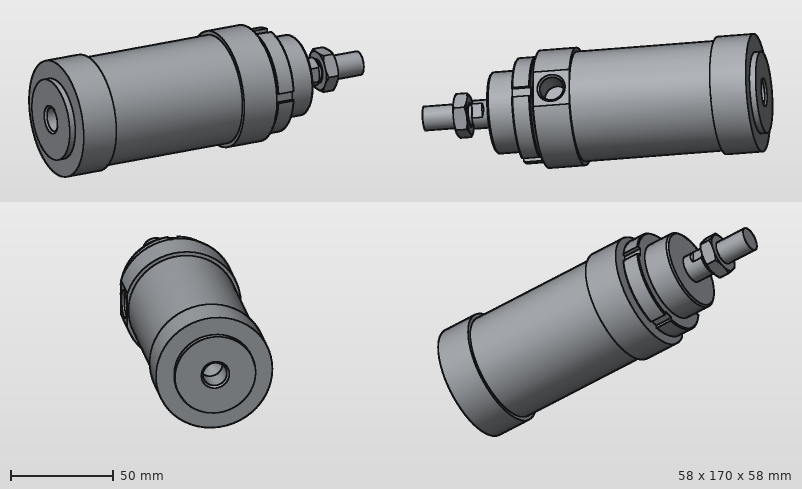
import cadquery as cq
import math

total_length = 170.0

cap_radius = 28.98
barrel_radius = 27.0
neck_radius = 20.0
rear_cap_start = 3.0
cap_length = 18.0
rear_cap_end = rear_cap_start + cap_length
front_cap_start = 91.8
front_cap_end = front_cap_start + cap_length
neck_end = 134.8
neck_chamfer = 0.8
flat_distance = 27.5

port_radius = 6.0
port_chamfer = 1.0
side_port_depth = 13.6
rear_port_depth = 13.6
drill_tip_angle = 118.0

ring_radius = 26.0
ring_start = 111.9
ring_width = 9.2
ring_chamfer = 0.5
slot_width = 5.0
slot_depth = 2.0
slot_count = 4

rod_radius = 7.0
tip_radius = 6.0
relief_radius = 5.0
shoulder_y = 145.2
rod_flat_distance = 6.0
rod_flat_length = 5.1
rod_flat_runout = 1.0
rod_flat_turn = -3.0

nut_across_flats = 19.0
nut_start = 147.2
nut_thickness = 6.6
nut_face_radius = 9.7
nut_corner_drop = 0.7
nut_end = nut_start + nut_thickness

socket_depth = 17.0
rod_start = neck_end - socket_depth


def cylinder(radius, start, end):
    """Cylinder on the Y axis from Y = start to Y = end."""
    return cq.Workplane("XZ", origin=(0, start, 0)).circle(radius).extrude(start - end)


def revolve_profile(points):
    """Solid of revolution about Y from (radius, y) points."""
    return cq.Workplane("XY").polyline(points).close().revolve(360, (0, 0, 0), (0, 1, 0))


def rear_port():
    """Blind hole with a chamfered mouth and a conical bottom, opening at Y = 0."""
    tip_height = port_radius / math.tan(math.radians(drill_tip_angle / 2))
    return revolve_profile([
        (0, 0),
        (port_radius + port_chamfer, 0),
        (port_radius, port_chamfer),
        (port_radius, rear_port_depth),
        (0, rear_port_depth + tip_height),
    ])


def side_port():
    """Flat-bottomed hole with a chamfered mouth, opening at the flat of the front cap."""
    middle_y = (front_cap_start + front_cap_end) / 2
    hole = (
        cq.Workplane("YZ", origin=(-flat_distance, middle_y, 0))
        .circle(port_radius)
        .extrude(side_port_depth)
    )
    mouth = cq.Solid.makeCone(
        port_radius + port_chamfer,
        port_radius,
        port_chamfer,
        pnt=cq.Vector(-flat_distance, middle_y, 0),
        dir=cq.Vector(1, 0, 0),
    )
    return hole.union(cq.Workplane(mouth))


def make_housing():
    housing = revolve_profile([
        (0, 0),
        (neck_radius, 0),
        (neck_radius, rear_cap_start),
        (cap_radius, rear_cap_start),
        (cap_radius, rear_cap_end),
        (barrel_radius, rear_cap_end),
        (barrel_radius, front_cap_start),
        (cap_radius, front_cap_start),
        (cap_radius, front_cap_end),
        (neck_radius, front_cap_end),
        (neck_radius, neck_end - neck_chamfer),
        (neck_radius - neck_chamfer, neck_end),
        (0, neck_end),
    ])
    flat_cut = cq.Workplane("XY").box(
        cap_radius, cap_length, 2 * cap_radius, centered=(False, False, True)
    ).translate((-flat_distance - cap_radius, front_cap_start, 0))
    socket = cylinder(rod_radius, rod_start, neck_end)
    return housing.cut(flat_cut).cut(rear_port()).cut(side_port()).cut(socket)


def make_ring_nut():
    ring_end = ring_start + ring_width
    ring = cylinder(ring_radius, ring_start, ring_end).edges().chamfer(ring_chamfer)
    ring = ring.cut(cylinder(neck_radius, ring_start, ring_end))
    slot = cq.Workplane("XY").box(
        slot_width, ring_width, 2 * slot_depth, centered=(True, False, True)
    ).translate((0, ring_start, ring_radius))
    for i in range(slot_count):
        ring = ring.cut(slot.rotate((0, 0, 0), (0, 1, 0), i * 360 / slot_count))
    return ring


def make_rod():
    rod = revolve_profile([
        (0, rod_start),
        (rod_radius, rod_start),
        (rod_radius, shoulder_y),
        (relief_radius, shoulder_y),
        (relief_radius, nut_start),
        (tip_radius, nut_start),
        (tip_radius, total_length),
        (0, total_length),
    ])
    flat_end = shoulder_y - rod_flat_length
    flat_cut = (
        cq.Workplane("XY")
        .polyline([
            (rod_flat_distance, shoulder_y),
            (rod_flat_distance, flat_end),
            (rod_radius, flat_end - rod_flat_runout),
            (rod_radius, shoulder_y),
        ])
        .close()
        .extrude(rod_radius, both=True)
    )
    for angle in (rod_flat_turn, rod_flat_turn + 180):
        rod = rod.cut(flat_cut.rotate((0, 0, 0), (0, 1, 0), angle))
    return rod


def make_hex_nut():
    corner_radius = nut_across_flats / 2 / math.cos(math.radians(30))
    hexagon = (
        cq.Workplane("XZ", origin=(0, nut_start, 0))
        .polygon(6, 2 * corner_radius)
        .extrude(-nut_thickness)
    )
    chamfered_envelope = revolve_profile([
        (0, nut_start),
        (nut_face_radius, nut_start),
        (corner_radius, nut_start + nut_corner_drop),
        (corner_radius, nut_end - nut_corner_drop),
        (nut_face_radius, nut_end),
        (0, nut_end),
    ])
    return hexagon.intersect(chamfered_envelope).cut(cylinder(tip_radius, nut_start, nut_end))


housing = make_housing()
ring_nut = make_ring_nut()
rod = make_rod()
hex_nut = make_hex_nut()

result = cq.Compound.makeCompound([housing.val(), ring_nut.val(), rod.val(), hex_nut.val()])